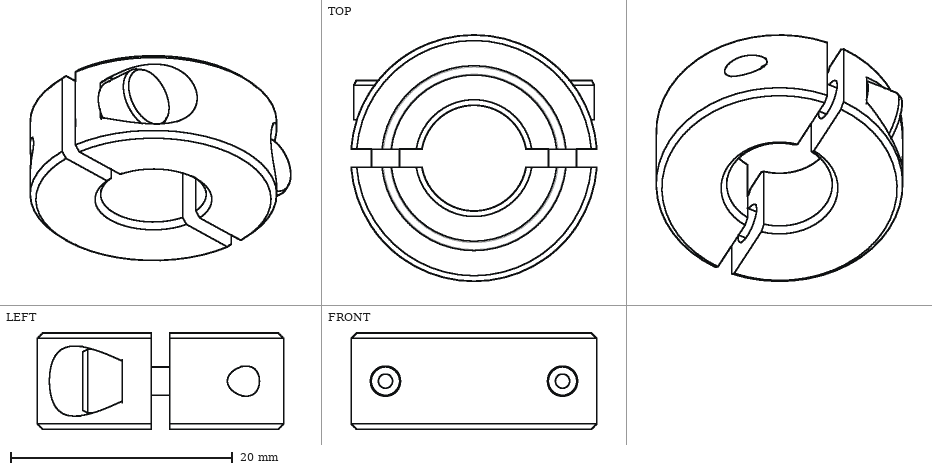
import cadquery as cq

outer_radius = 11.12
bore_radius = 4.75
height = 8.71
edge_chamfer = 0.51
split_gap = 1.65
half_gap = split_gap / 2

groove_radius = 7.91
groove_half_width = 0.42
groove_depth = 0.42
groove_lip_width = 0.11
groove_lip_depth = 0.2
groove_arc_half_width = groove_half_width - groove_lip_width

screw_offset = 7.98
shank_diameter = 2.55
tip_diameter = shank_diameter / 2
tip_length = (shank_diameter - tip_diameter) / 2
tip_y = -5.95
head_diameter = 5.74
head_length = 3.55
head_bevel_length = 0.45
head_bevel_width = 0.22
seat_y = 3.45

pocket_diameter = 6.31
clearance_diameter = 3.67
front_hole_diameter = 2.71


def make_ring():
    """Full ring, centred on the origin, with bevelled rims and a top groove."""
    blank = cq.Workplane("XY").circle(outer_radius).circle(bore_radius).extrude(height / 2, both=True)
    return blank.faces("<Z or >Z").edges().chamfer(edge_chamfer).cut(make_groove())


def make_groove():
    """Ring-shaped cutter with bevelled lips and an arched bottom."""
    top = height / 2
    arc_top = top - groove_lip_depth
    profile = (
        cq.Workplane("XZ")
        .moveTo(groove_radius - groove_half_width, top)
        .lineTo(groove_radius - groove_arc_half_width, arc_top)
        .threePointArc(
            (groove_radius, top - groove_depth),
            (groove_radius + groove_arc_half_width, arc_top),
        )
        .lineTo(groove_radius + groove_half_width, top)
        .close()
    )
    return profile.revolve(360, (0, 0, 0), (0, 1, 0))


def make_ring_half(side):
    """Part of the ring beyond the split gap; side is +1 for +Y and -1 for -Y."""
    keep = cq.Workplane("XY").box(2 * outer_radius, outer_radius, height)
    return make_ring().intersect(keep.translate((0, side * (half_gap + outer_radius / 2), 0)))


def cylinder_along_y(diameter, x, y_start, y_end):
    """Cylinder parallel to Y at mid height, from y_start to y_end."""
    length = y_end - y_start
    start = cq.Vector(x, y_start, 0)
    return cq.Workplane(cq.Solid.makeCylinder(diameter / 2, length, start, cq.Vector(0, 1, 0)))


def make_screw(x):
    """Cap screw with a conical flat-ended tip at -Y and a bevelled head at +Y."""
    head_end = seat_y + head_length
    head_radius = head_diameter / 2
    profile = (
        cq.Workplane("XY")
        .moveTo(0, tip_y)
        .lineTo(tip_diameter / 2, tip_y)
        .lineTo(shank_diameter / 2, tip_y + tip_length)
        .lineTo(shank_diameter / 2, seat_y)
        .lineTo(head_radius, seat_y)
        .lineTo(head_radius, head_end - head_bevel_length)
        .lineTo(head_radius - head_bevel_width, head_end)
        .lineTo(0, head_end)
        .close()
    )
    return profile.revolve(360, (0, 0, 0), (0, 1, 0)).translate((x, 0, 0))


def make_front_half():
    """-Y half with a plain through hole around each screw shank."""
    half = make_ring_half(-1)
    for x in (-screw_offset, screw_offset):
        half = half.cut(cylinder_along_y(front_hole_diameter, x, -outer_radius, 0))
    return half


def make_rear_half():
    """+Y half, joined to the two screws at the seats under their heads."""
    half = make_ring_half(1)
    for x in (-screw_offset, screw_offset):
        half = half.cut(cylinder_along_y(clearance_diameter, x, 0, seat_y))
        half = half.cut(cylinder_along_y(pocket_diameter, x, seat_y, outer_radius))
        half = half.union(make_screw(x))
    return half


front_half = make_front_half()
rear_half = make_rear_half()

result = cq.Compound.makeCompound([front_half.solids().val(), rear_half.solids().val()])